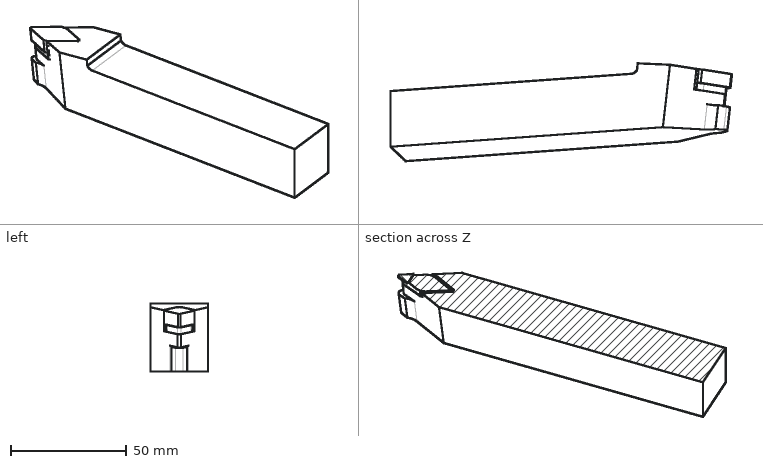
import cadquery as cq
import math

LENGTH = 150.0
WIDTH = 25.0
SHANK_HEIGHT = 25.0
PEAK_HEIGHT = 29.5
PEAK_X = 38.8
STEP_CURVE_HEIGHT = 1.5
STEP_CURVE_END_X = 41.8

TILT = math.degrees(math.atan((PEAK_HEIGHT - SHANK_HEIGHT) / PEAK_X))
HEAD_DEPTH = 45.0
HEAD_PLANE = cq.Plane(origin=(0, 0, SHANK_HEIGHT), xDir=(1, 0, 0), normal=(0, 0, 1)).rotated((0, -TILT, 0))

FLANK_ANGLE = 27.5
SHOULDER_U = 24.5
NECK_U = 1.8

DIAMOND_HALF_ANGLE = 27.5
INSERT_LENGTH = 25.6
INSERT_WIDTH = 13.2
INSERT_NOSE_HALF_WIDTH = 0.6
INSERT_THICKNESS = 6.0

SEAT_INSET = 0.9
SEAT_THICKNESS = 3.2
SEAT_NOSE_RADIUS = 0.9
SEAT_SIDE_RADIUS = 5.2

FOOT_TOP_DEPTH = 14.8
FOOT_TIP_U = -0.9
FOOT_NOSE_RADIUS = 2.0
FOOT_SIDE_END_U = 3.5
FOOT_BLEND_END_U = 8.2

SLOPE = math.tan(math.radians(DIAMOND_HALF_ANGLE))
DIAMOND_CENTRE_U = INSERT_LENGTH / 2
DIAMOND_HALF_LENGTH = INSERT_LENGTH / 2 + INSERT_NOSE_HALF_WIDTH / SLOPE
POCKET_DEPTH = INSERT_THICKNESS + SEAT_THICKNESS


def head_sketch(depth):
    """Workplane parallel to the head's top face, the given depth below it."""
    return cq.Workplane(HEAD_PLANE).workplane(offset=-depth)


def diamond(half_length, depth, thickness):
    """Sharp diamond prism whose top lies the given depth below the head's top face."""
    half_width = half_length * SLOPE
    corners = [(half_length, 0), (0, half_width), (-half_length, 0), (0, -half_width)]
    return head_sketch(depth).center(DIAMOND_CENTRE_U, 0).polyline(corners).close().extrude(-thickness)


def insert_shape(thickness):
    """Diamond trimmed flat at its four corners, used for the insert and its pocket."""
    trim = head_sketch(0).center(DIAMOND_CENTRE_U, 0).rect(INSERT_LENGTH, INSERT_WIDTH).extrude(-thickness)
    return diamond(DIAMOND_HALF_LENGTH, 0, thickness).intersect(trim)


def flank_half_width(u):
    """Half width between the two flanks at distance u along the head."""
    return WIDTH / 2 - (SHOULDER_U - u) * math.tan(math.radians(FLANK_ANGLE))


def make_side_profile():
    """Shank and raised head, full width, with the curved step behind the head."""
    tilt = math.radians(TILT)
    front_x = -7.5
    front_z = SHANK_HEIGHT + front_x * math.tan(tilt)
    curve_top_z = SHANK_HEIGHT + STEP_CURVE_HEIGHT
    curve_top_x = PEAK_X + (PEAK_HEIGHT - curve_top_z) * math.tan(tilt)
    profile = (
        cq.Workplane("XZ")
        .moveTo(front_x, 0)
        .lineTo(LENGTH, 0)
        .lineTo(LENGTH, SHANK_HEIGHT)
        .lineTo(STEP_CURVE_END_X, SHANK_HEIGHT)
        .tangentArcPoint((curve_top_x, curve_top_z), relative=False)
        .lineTo(PEAK_X, PEAK_HEIGHT)
        .lineTo(front_x, front_z)
        .close()
    )
    return profile.extrude(WIDTH / 2, both=True)


def make_head_plan():
    """Tapered head outline, continued at full width past the end of the shank."""
    half = WIDTH / 2
    neck = flank_half_width(NECK_U)
    end = LENGTH + HEAD_DEPTH
    points = [(NECK_U, neck), (SHOULDER_U, half), (end, half),
              (end, -half), (SHOULDER_U, -half), (NECK_U, -neck)]
    plan = head_sketch(HEAD_DEPTH).polyline(points).close()
    return plan.extrude(2 * HEAD_DEPTH)


def make_foot():
    """Round-nosed prow whose sides run into the flanks through hollow blends."""
    angle = math.radians(DIAMOND_HALF_ANGLE)
    nose_centre = FOOT_TIP_U + FOOT_NOSE_RADIUS
    nose_u = nose_centre - FOOT_NOSE_RADIUS * math.sin(angle)
    nose_v = FOOT_NOSE_RADIUS * math.cos(angle)
    side_v = nose_v + (FOOT_SIDE_END_U - nose_u) * SLOPE
    blend_v = flank_half_width(FOOT_BLEND_END_U)
    outline = (
        head_sketch(FOOT_TOP_DEPTH)
        .moveTo(FOOT_BLEND_END_U, blend_v)
        .threePointArc(blend_middle(side_v, blend_v, 1), (FOOT_SIDE_END_U, side_v))
        .lineTo(nose_u, nose_v)
        .threePointArc((FOOT_TIP_U, 0), (nose_u, -nose_v))
        .lineTo(FOOT_SIDE_END_U, -side_v)
        .threePointArc(blend_middle(side_v, blend_v, -1), (FOOT_BLEND_END_U, -blend_v))
        .close()
    )
    return outline.extrude(-HEAD_DEPTH)


def blend_middle(side_v, blend_v, side):
    """Middle point of the hollow arc that ends tangent to the flank."""
    du = FOOT_BLEND_END_U - FOOT_SIDE_END_U
    dv = blend_v - side_v
    flank = math.radians(FLANK_ANGLE)
    sag = math.tan((flank - math.atan2(dv, du)) / 2) / 2
    return (FOOT_SIDE_END_U + du / 2 + sag * dv, side * (side_v + dv / 2 - sag * du))


def make_seat():
    """Round-cornered diamond standing on the pocket floor."""
    half_length = DIAMOND_HALF_LENGTH - SEAT_INSET / SLOPE
    seat = diamond(half_length, INSERT_THICKNESS, SEAT_THICKNESS)
    upright = cq.selectors.ParallelDirSelector(HEAD_PLANE.zDir)
    middle = seat.val().Center().x
    noses = [e for e in seat.edges(upright).vals() if abs(e.Center().x - middle) > half_length / 2]
    seat = seat.newObject(noses).fillet(SEAT_NOSE_RADIUS)
    sides = [e for e in seat.edges(upright).vals() if abs(e.Center().y) > half_length * SLOPE / 2]
    return seat.newObject(sides).fillet(SEAT_SIDE_RADIUS)


def make_holder():
    profile = make_side_profile()
    body = make_head_plan().union(make_foot()).intersect(profile)
    return body.cut(insert_shape(POCKET_DEPTH)).union(make_seat())


insert = insert_shape(INSERT_THICKNESS)
holder = make_holder()

result = cq.Compound.makeCompound([holder.val(), insert.val()])